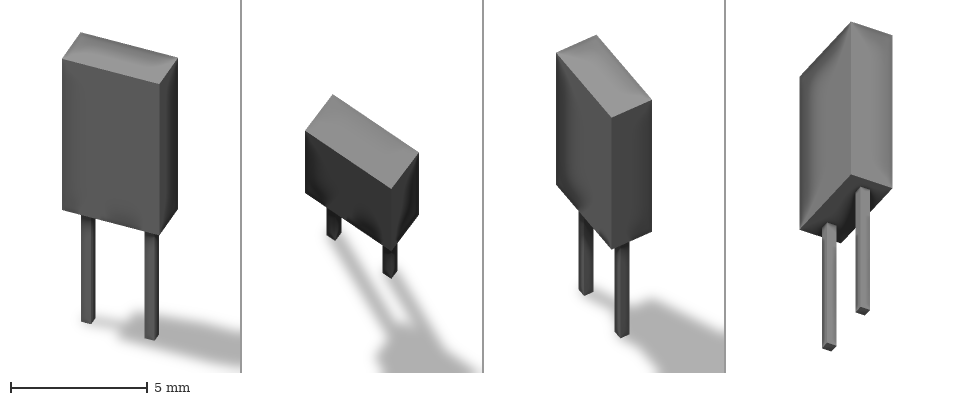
import cadquery as cq

body_width = 3.9
body_depth = 1.75
body_height = 7.0

total_height = 12.5
lead_length = total_height - body_height
lead_side = 0.4
lead_pitch = 2.54


def make_body():
    """Block standing on the XY plane, centred on the Z axis."""
    return cq.Workplane("XY").rect(body_width, body_depth).extrude(body_height)


def make_lead(x):
    """Square lead running down from the underside of the body."""
    return cq.Workplane("XY").center(x, 0).rect(lead_side, lead_side).extrude(-lead_length)


result = make_body()
for side in (-1, 1):
    result = result.union(make_lead(side * lead_pitch / 2))